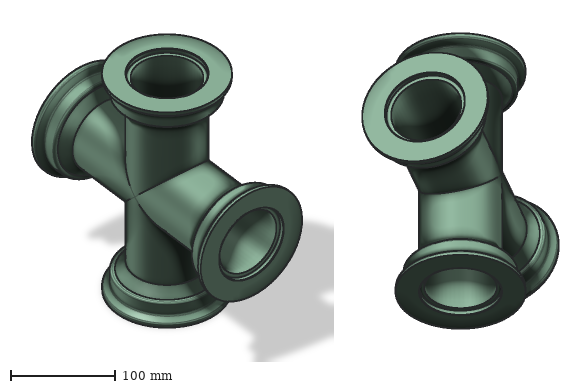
import cadquery as cq

overall_length = 259.0
pipe_diameter = 80.0
bore_diameter = 70.0
flange_diameter = 125.0
collar_diameter = 110.0
recess_diameter = 79.0
recess_mouth_diameter = pipe_diameter

rim_depth = 4.7
collar_start_depth = 9.5
collar_end_depth = 24.3
neck_end_depth = 34.5
recess_depth = 5.2

neck_diameter = 100.2
edge_radius = 2.0
height_tolerance = 0.03

half_length = overall_length / 2
pipe_radius = pipe_diameter / 2
flange_radius = flange_diameter / 2
collar_radius = collar_diameter / 2
neck_radius = neck_diameter / 2
recess_radius = recess_diameter / 2
recess_mouth_radius = recess_mouth_diameter / 2
mouth_chamfer = recess_mouth_radius - recess_radius


def flanged_arm():
    """Solid arm along +Z: pipe, conical neck, collar and clamping flange."""
    profile = [
        (0, 0),
        (pipe_radius, 0),
        (pipe_radius, half_length - neck_end_depth),
        (neck_radius, half_length - collar_end_depth),
        (collar_radius, half_length - collar_end_depth),
        (collar_radius, half_length - collar_start_depth),
        (flange_radius, half_length - rim_depth),
        (flange_radius, half_length),
        (0, half_length),
    ]
    arm = cq.Workplane("XZ").polyline(profile).close().revolve(360, (0, 0, 0), (0, 1, 0))

    rounded_edges = []
    for depth in (collar_end_depth, collar_start_depth, rim_depth):
        height = half_length - depth
        level = cq.selectors.BoxSelector(
            (-flange_radius, -flange_radius, height - height_tolerance),
            (flange_radius, flange_radius, height + height_tolerance),
        )
        outermost = cq.selectors.RadiusNthSelector(-1)
        rounded_edges += arm.edges(level).edges("%CIRCLE").edges(outermost).vals()
    return arm.newObject([arm.val().fillet(edge_radius, rounded_edges)])


def arm_cutter():
    """Bore along +Z with a shallow, chamfered recess at the flange face."""
    recess_floor = half_length - recess_depth
    profile = [
        (0, 0),
        (bore_diameter / 2, 0),
        (bore_diameter / 2, recess_floor),
        (recess_radius, recess_floor),
        (recess_radius, half_length - mouth_chamfer),
        (recess_mouth_radius, half_length),
        (0, half_length),
    ]
    return cq.Workplane("XZ").polyline(profile).close().revolve(360, (0, 0, 0), (0, 1, 0))


def four_way(arm):
    """Join copies of an arm pointing along +Z, +X, -Z and -X."""
    cross = arm
    for angle in (90, 180, 270):
        cross = cross.union(arm.rotate((0, 0, 0), (0, 1, 0), angle))
    return cross


result = four_way(flanged_arm()).cut(four_way(arm_cutter()))